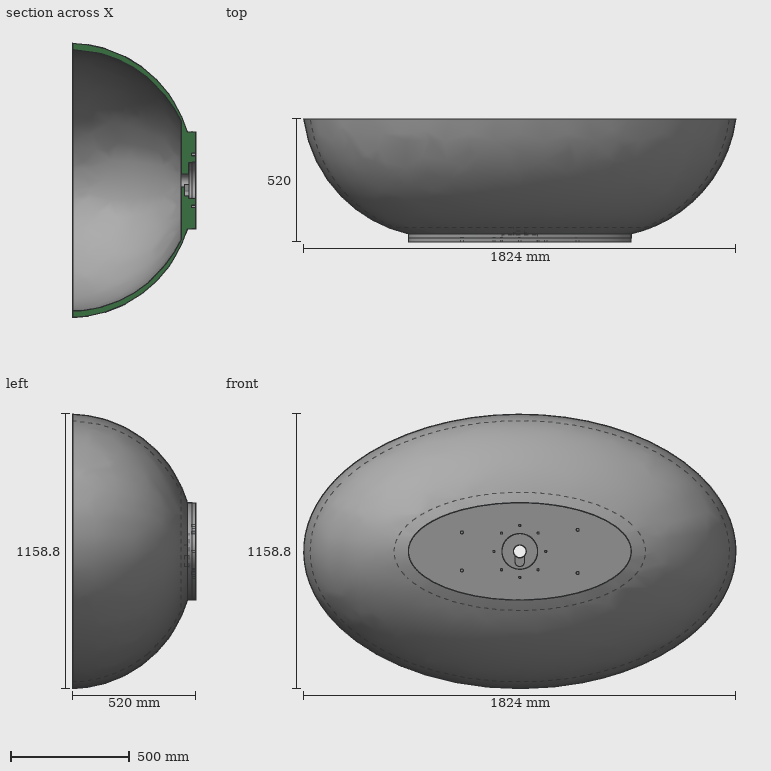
import cadquery as cq
import math

height = 520.0
rim_half_x = 912.0
rim_half_z = 579.4

bowl_depth = 485.0
bowl_end_half_x = 470.0
bowl_end_half_z = 205.0
side_radius_x = 575.0
side_radius_z = 522.0
wall = 27.0
section_count = 9

foot_half_x = 470.0
foot_half_z = 206.0
lower_band_height = 16.0
lower_band_inset = 1.0
foot_overlap = 10.0

recess_diameter = 150.0
recess_depth = 30.0
drain_diameter = 53.0
slot_width = 40.0
slot_drop = 44.0
slot_depth = 18.0

ring_hole_count = 8
ring_radius = 110.0
ring_hole_diameter = 10.0
mount_hole_diameter = 13.0
mount_x = 245.0
mount_z_left = 80.0
mount_z_right = 91.0
fixing_depth = 18.0

rim_y = height / 2
foot_y = -height / 2


def plane_at(y):
    """XZ plane at height y whose normal points to +Y; local +y is -Z."""
    return cq.Workplane(cq.Plane(origin=(0, y, 0), xDir=(1, 0, 0), normal=(0, 1, 0)))


def arc_half_width(depth, rim_half, end_half, radius):
    """Half width at a depth, on the bulging arc from the rim to the bowl end."""
    inward = rim_half - end_half
    chord = math.hypot(bowl_depth, inward)
    center_offset = math.sqrt(radius**2 - (chord / 2) ** 2)
    center_depth = bowl_depth / 2 - center_offset * inward / chord
    center_half = (rim_half + end_half) / 2 - center_offset * bowl_depth / chord
    return center_half + math.sqrt(radius**2 - (depth - center_depth) ** 2)


def bowl_solid(inset, depth_limit):
    """Loft of elliptical sections, with its sides moved in by the inset."""
    depths = [
        depth_limit * math.sin(math.pi / 2 * i / (section_count - 1))
        for i in range(section_count)
    ]
    wires = []
    for depth in depths:
        half_x = arc_half_width(depth, rim_half_x, bowl_end_half_x, side_radius_x) - inset
        half_z = arc_half_width(depth, rim_half_z, bowl_end_half_z, side_radius_z) - inset
        wires.append(plane_at(rim_y - depth).ellipse(half_x, half_z).val())
    return cq.Workplane(cq.Solid.makeLoft(wires))


def foot():
    upper_y = foot_y + lower_band_height
    upper_height = rim_y - bowl_depth - upper_y
    upper = plane_at(upper_y).ellipse(foot_half_x, foot_half_z).extrude(upper_height)
    root_y = upper_y + upper_height
    root = (
        plane_at(root_y)
        .ellipse(bowl_end_half_x - foot_overlap, bowl_end_half_z - foot_overlap)
        .extrude(foot_overlap)
    )
    lower = (
        plane_at(foot_y)
        .ellipse(foot_half_x - lower_band_inset, foot_half_z - lower_band_inset)
        .extrude(lower_band_height)
    )
    return upper.union(root).union(lower)


def cut_drain(body):
    recess_floor = foot_y + recess_depth
    recess = plane_at(foot_y).circle(recess_diameter / 2).extrude(recess_depth)
    mouth = (
        plane_at(foot_y)
        .circle(recess_diameter / 2 + lower_band_inset)
        .extrude(lower_band_height)
    )
    hole = plane_at(foot_y).circle(drain_diameter / 2).extrude(height)
    slot_end = plane_at(recess_floor).center(0, slot_drop).circle(slot_width / 2).extrude(slot_depth)
    slot_body = (
        plane_at(recess_floor)
        .center(0, slot_drop / 2)
        .rect(slot_width, slot_drop)
        .extrude(slot_depth)
    )
    return body.cut(mouth).cut(recess).cut(hole).cut(slot_end).cut(slot_body)


def fixing_holes():
    ring = (
        plane_at(foot_y)
        .polarArray(ring_radius, 0, 360, ring_hole_count)
        .circle(ring_hole_diameter / 2)
        .extrude(fixing_depth)
    )
    mount_points = []
    for side in (-1, 1):
        mount_points.append((-mount_x, side * mount_z_left))
        mount_points.append((mount_x, side * mount_z_right))
    mounts = (
        plane_at(foot_y)
        .pushPoints(mount_points)
        .circle(mount_hole_diameter / 2)
        .extrude(fixing_depth)
    )
    return ring.union(mounts)


outer = bowl_solid(0, bowl_depth)
cavity = bowl_solid(wall, bowl_depth - wall)
tub = outer.union(foot()).cut(cavity)
result = cut_drain(tub).cut(fixing_holes())